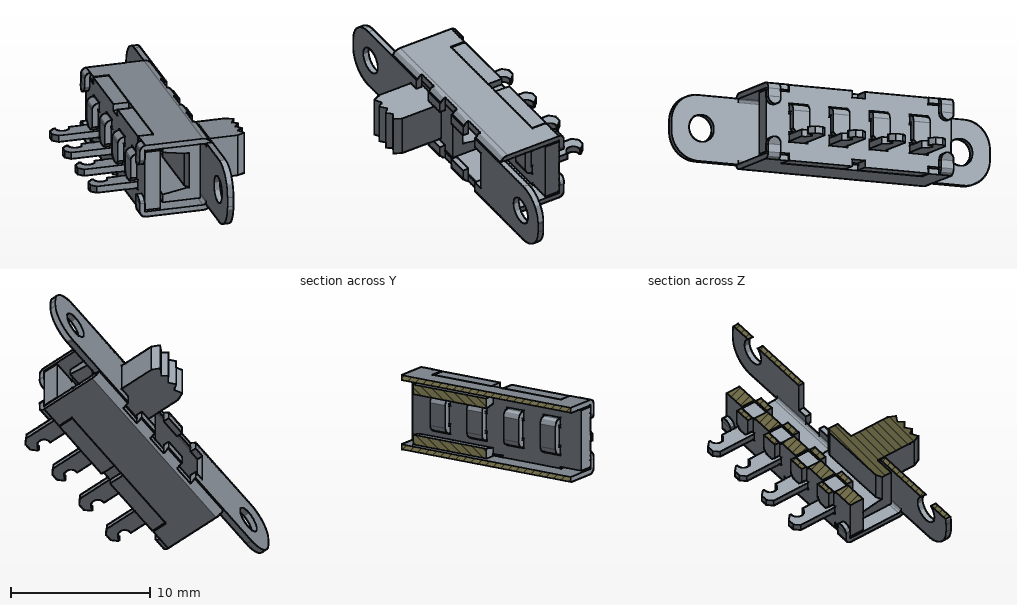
import cadquery as cq

length = 25.4
body_length = 14.78
body_height = 5.6
wall = 0.4
plate_thickness = 0.45
bend_radius = 0.7
frame_depth = 5.03
inner_height = body_height - 2 * wall
ear_height = 4.83
ear_corner_radius = 2.05
ear_hole_spacing = 20.62
ear_hole_diameter = 1.98

tab_width = 1.0
tab_thickness = 0.38
tab_bend_radius = 0.45
tab_tip_height = 1.2
tab_kink_height = 1.75
tab_flare = 0.08

pitch = 3.2
slider_position = pitch
notch_width = pitch / 2
slot_clearance = 0.03

base_length = 14.73
base_height = 4.52
base_front = -3.89
base_back = -5.05
boss_width = 11.07
boss_height = 5.54
boss_clearance = 0.08
key_width = 1.02

terminal_count = 4
terminal_width = 1.32
terminal_thickness = 0.5
terminal_bend_radius = 0.48
terminal_height = 2.67
clinch_gap = 0.05
clinch_back = -5.55
lug_end = -8.45
lug_chamfer = 0.38
clinch_chamfer = 0.33
lug_notch_radius = 0.5
lug_notch_y = -7.45
lug_notch_offset = 0.05
hole_width = 1.47
hole_height = 0.75
hole_spacing = 2.08

knob_width = pitch
knob_height = 3.15
knob_shoulder = 2.67
outer_tooth_x = 1.32
outer_tooth_tip = 3.25
outer_valley_x = 0.75
outer_valley = 2.95
inner_tooth_x = 0.45
inner_tooth_tip = 3.35
middle_valley = 2.97
carrier_length = 2 * pitch
carrier_height = base_height
carrier_front = -0.6
arm_end = -3.43
arm_gap_at_web = 2.7
arm_gap_at_end = 3.3
web_back = -1.68
lead_in_depth = 0.23
lead_in_length = 0.45

slot_length = 2 * pitch + knob_width + 2 * slot_clearance
slot_height = knob_height + 2 * slot_clearance


def block(x, y, z):
    """A box from three (low, high) pairs."""
    size = [high - low for low, high in (x, y, z)]
    return cq.Workplane("XY").box(*size, centered=False).translate((x[0], y[0], z[0]))


def centred(size, middle=0.0):
    """The (low, high) pair of a length centred on a point."""
    return (middle - size / 2, middle + size / 2)


def profile_along_x(points, x):
    """A closed outline of (y, z) points swept between two X positions."""
    return cq.Workplane("YZ").polyline(points).close().extrude(x[1] - x[0]).translate((x[0], 0, 0))


def on_all_corners(solid):
    """A solid with its mirror images across X = 0 and Z = 0."""
    pair = solid.union(solid.mirror("YZ"))
    return pair.union(pair.mirror("XY"))


def make_channel():
    """U-shaped channel open at the back, with rounded bends inside and out."""
    outside = block(centred(body_length), (-frame_depth, 0), centred(body_height))
    outside = outside.faces(">Y").edges("|X").fillet(bend_radius)
    inside = block(centred(body_length), (-frame_depth, -plate_thickness), centred(inner_height))
    inside = inside.faces(">Y").edges("|X").fillet(bend_radius - plate_thickness)
    boss_opening = block(
        centred(boss_width + 2 * boss_clearance), (-frame_depth, base_front), centred(body_height)
    )
    return outside.cut(inside).cut(boss_opening)


def make_ears():
    """Flat plate with rounded ends and a mounting hole in each."""
    ears = block(centred(length), (-plate_thickness, 0), centred(ear_height))
    ears = ears.edges("|Y").fillet(ear_corner_radius)
    holes = (
        cq.Workplane("XZ")
        .pushPoints([(-ear_hole_spacing / 2, 0), (ear_hole_spacing / 2, 0)])
        .circle(ear_hole_diameter / 2)
        .extrude(plate_thickness)
    )
    return ears.cut(holes)


def make_tabs():
    """Rounded tabs bent over the base, each tip flared slightly outward."""
    x = (body_length / 2 - tab_width, body_length / 2)
    inner = base_back
    outer = inner - tab_thickness
    top = body_height / 2
    flat = block(x, (outer, inner), (tab_kink_height, top))
    root = block(x, (outer, base_front), (inner_height / 2, top))
    bent = flat.union(root).faces("<Y").edges(">Z").fillet(tab_bend_radius)
    tip = profile_along_x(
        [
            (inner, tab_kink_height),
            (outer, tab_kink_height),
            (outer - tab_flare, tab_tip_height),
            (inner - tab_flare, tab_tip_height),
        ],
        x,
    )
    tip_radius = tab_width / 2
    tip_centre = tab_tip_height + tip_radius
    rounding = (
        cq.Workplane("XZ", origin=(x[0] + tip_radius, inner, tip_centre))
        .circle(tip_radius)
        .extrude(tab_thickness + tab_flare)
        .union(block(x, (outer - tab_flare, inner), (tip_centre, top)))
    )
    return on_all_corners(bent.union(tip.intersect(rounding)))


def cut_slider_openings(frame):
    """The slider slot, crossed by one full-height notch per slider position."""
    through = (-plate_thickness, 0)
    frame = frame.cut(block(centred(slot_length), through, centred(slot_height)))
    for step in (-1, 0, 1):
        notch = block(centred(notch_width, step * pitch), through, centred(body_height))
        frame = frame.cut(notch)
    return frame


def make_base():
    """Insulating base with a boss filling the openings in the channel walls."""
    depth = (base_back, base_front)
    base = block(centred(base_length), depth, centred(base_height))
    boss = block(centred(boss_width), depth, centred(boss_height))
    for side in (-1, 1):
        key_z = side * (base_height + boss_height) / 4
        key_height = (boss_height - base_height) / 2
        boss = boss.cut(block(centred(key_width), depth, centred(key_height, key_z)))
    return base.union(boss)


def terminal_positions():
    first = -pitch * (terminal_count - 1) / 2
    return [first + pitch * index for index in range(terminal_count)]


def cut_terminal_holes(base):
    """Two through holes per terminal, loose around its legs."""
    depth = (base_back, base_front)
    for x in terminal_positions():
        for side in (-1, 1):
            hole_z = side * hole_spacing / 2
            base = base.cut(block(centred(hole_width, x), depth, centred(hole_height, hole_z)))
    return base


def make_terminal():
    """Strip clinched through the base, ending in a notched solder lug."""
    x = centred(terminal_width)
    top = terminal_height / 2
    lug_top = terminal_thickness - top
    contact_face = base_front + terminal_thickness
    clinch_front = base_back - clinch_gap
    lug_notch_x = x[0] + lug_notch_offset

    contact = block(x, (base_front, contact_face), (-top, top))
    contact = contact.faces(">Y").edges("|X").fillet(terminal_bend_radius)

    leg = block(x, (clinch_front, base_front), (-lug_top, top))

    clinch = block(x, (clinch_back, clinch_front), (lug_top, top))
    clinch = clinch.faces("<Z").edges("|Y").chamfer(clinch_chamfer)
    clinch = clinch.union(leg)
    clinch = clinch.faces("<Y").edges(">Z").fillet(terminal_bend_radius)

    lug = block(x, (lug_end, base_front), (-top, lug_top))
    lug = lug.faces("<Y").edges("|Z").chamfer(lug_chamfer)
    wire_notch = (
        cq.Workplane("XY", origin=(lug_notch_x, lug_notch_y, -top))
        .circle(lug_notch_radius)
        .extrude(terminal_thickness)
    )
    return contact.union(clinch).union(lug.cut(wire_notch))


def make_switch_body():
    """Frame, base and terminals, fixed together as one solid."""
    frame = cut_slider_openings(make_channel().union(make_ears()))
    body = frame.union(make_tabs()).union(cut_terminal_holes(make_base()))
    for x in terminal_positions():
        body = body.union(make_terminal().translate((x, 0, 0)))
    return body


def make_knob():
    """Knob with a serrated crown of four teeth."""
    right = [
        (knob_width / 2, carrier_front),
        (knob_width / 2, knob_shoulder),
        (outer_tooth_x, outer_tooth_tip),
        (outer_valley_x, outer_valley),
        (inner_tooth_x, inner_tooth_tip),
    ]
    left = [(-x, y) for x, y in reversed(right)]
    outline = right + [(0, middle_valley)] + left
    return (
        cq.Workplane("XY", origin=(0, 0, -knob_height / 2)).polyline(outline).close().extrude(knob_height)
    )


def make_carrier():
    """Carrier under the plate, with two tapered arms reaching toward the base."""
    x = centred(carrier_length)
    carrier = block(x, (arm_end, carrier_front), centred(carrier_height))
    at_web = arm_gap_at_web / 2
    at_end = arm_gap_at_end / 2
    gap = [(web_back, -at_web), (web_back, at_web), (arm_end, at_end), (arm_end, -at_end)]
    carrier = carrier.cut(profile_along_x(gap, x))
    for side in (-1, 1):
        end = side * carrier_length / 2
        lead_in = (
            cq.Workplane("XY", origin=(0, 0, -at_web))
            .moveTo(end, web_back)
            .lineTo(end, web_back + lead_in_depth)
            .lineTo(end - side * lead_in_length, web_back)
            .close()
            .extrude(arm_gap_at_web)
        )
        carrier = carrier.cut(lead_in)
    return carrier


def make_slider():
    slider = make_knob().union(make_carrier())
    return slider.translate((slider_position, 0, 0))


switch_body = make_switch_body()
slider = make_slider()
result = cq.Compound.makeCompound([switch_body.val(), slider.val()])